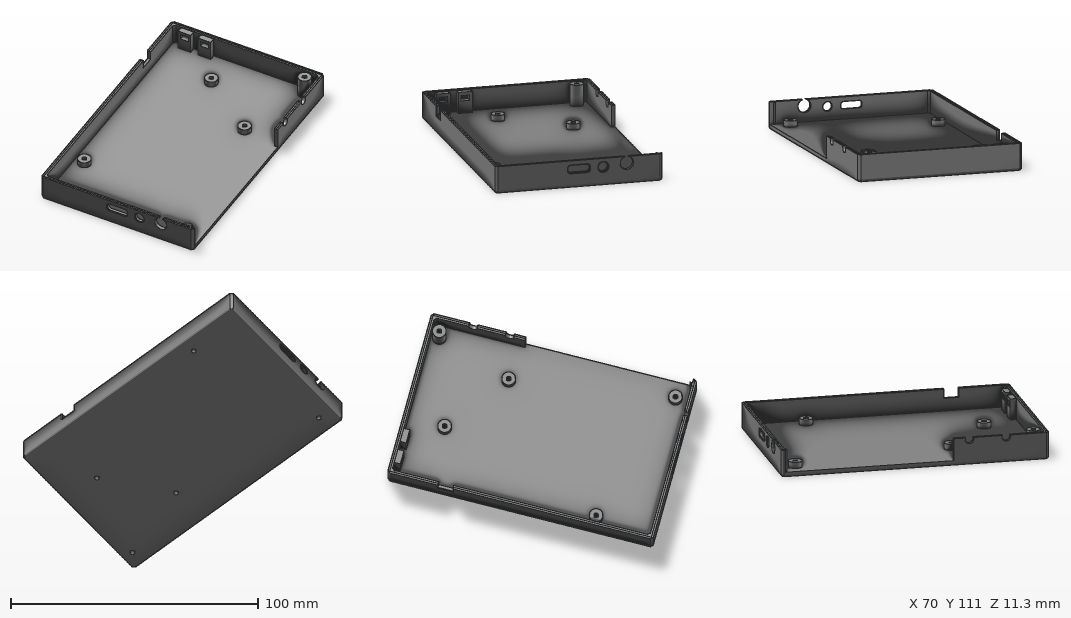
import cadquery as cq
length = 111.0
width = 70.0
height = 11.3
wall = 1.5
floor = 2.1
edge_size = 1.0
rim_step_width = wall / 2
rim_step_drop = 0.05

boss_diameter = 5.5
screw_diameter = 1.9
short_boss_height = 2.5
tall_boss_height = 9.0
short_boss_centers = [(-7.9, 38.7), (18.2, 18.9), (-28.9, -30.2), (28.1, -48.3)]
tall_boss_centers = [(28.5, 50.6)]

latch_width = 5.8
latch_depth = 2.5
latch_height = 8.9
latch_centers_x = [-27.2, -18.0]
window_width = 3.5
window_height = 2.2
window_depth = latch_depth
window_center_z = 8.4

slot_center_x = 0.0
slot_length = 9.1
slot_height = 3.1
slot_corner_radius = 1.2
jack_center_x = 10.2
jack_diameter = 4.0
port_center_z = 7.8
port_flare = 0.3
lamp_center_x = 20.1
lamp_center_z = 8.7
lamp_diameter = 5.5

notch_diameter = 3.5
notch_depth = 2.4
notch_centers_y = [37.9, 22.5]
side_cut_center_y = 31.3
side_cut_length = 6.2
side_cut_depth = 3.9
right_wall_end_y = 16.1

inner_width = width - 2 * wall
inner_length = length - 2 * wall


def make_shell():
    """Open tray with chamfered corners, a rounded bottom edge and a shallow step in its rim."""
    body = cq.Workplane("XY").box(width, length, height, centered=(True, True, False))
    body = body.edges("|Z").chamfer(edge_size).faces("<Z").edges().fillet(edge_size)
    cavity = (
        cq.Workplane("XY", origin=(0, 0, floor))
        .rect(inner_width, inner_length)
        .extrude(height)
        .edges("|Z")
        .chamfer(edge_size)
    )
    step = (
        cq.Workplane("XY", origin=(0, 0, height - rim_step_drop))
        .rect(width - 2 * rim_step_width, length - 2 * rim_step_width)
        .extrude(height)
    )
    return body.cut(cavity).cut(step)


def make_right_wall_gap():
    """Removes the right wall above the floor, from the front wall back to its end."""
    front = -inner_length / 2
    return cq.Workplane("XY", origin=(width / 2, front, floor)).box(
        2 * wall, right_wall_end_y - front, height, centered=(True, False, False)
    )


def make_bosses(centers, boss_height):
    return (
        cq.Workplane("XY", origin=(0, 0, floor))
        .pushPoints(centers)
        .circle(boss_diameter / 2)
        .extrude(boss_height)
    )


def make_screw_holes():
    return (
        cq.Workplane("XY")
        .pushPoints(short_boss_centers + tall_boss_centers)
        .circle(screw_diameter / 2)
        .extrude(height)
    )


def make_latch(center_x):
    front = inner_length / 2 - latch_depth
    block = cq.Workplane("XY", origin=(center_x, front, floor)).box(
        latch_width, latch_depth, latch_height, centered=(True, False, False)
    )
    window = cq.Workplane("XY", origin=(center_x, front, window_center_z)).box(
        window_width, 2 * window_depth, window_height
    )
    return block.cut(window)


def front_plane(center_x, center_z):
    """A workplane on the outer front face whose extrusions run into the part."""
    plane = cq.Plane(origin=(center_x, -length / 2, center_z), xDir=(-1, 0, 0), normal=(0, 1, 0))
    return cq.Workplane(plane)


def flared_opening(outer_face, inner_outline, outer_outline):
    """Cutter through one wall whose outer rim narrows at 45 degrees to the inner outline."""
    hole = outer_face.placeSketch(inner_outline).extrude(wall)
    flare = outer_face.placeSketch(outer_outline).extrude(port_flare, taper=45)
    return hole.union(flare)


def make_slot():
    def outline(margin):
        sketch = cq.Sketch().rect(slot_length + 2 * margin, slot_height + 2 * margin)
        return sketch.vertices().fillet(slot_corner_radius + margin)

    return flared_opening(front_plane(slot_center_x, port_center_z), outline(0), outline(port_flare))


def make_jack_hole():
    inner = cq.Sketch().circle(jack_diameter / 2)
    outer = cq.Sketch().circle(jack_diameter / 2 + port_flare)
    return flared_opening(front_plane(jack_center_x, port_center_z), inner, outer)


def make_lamp_hole():
    return front_plane(lamp_center_x, lamp_center_z).circle(lamp_diameter / 2).extrude(wall)


def make_notches():
    """Round notches that overhang at the rim, because their centres lie below it."""
    center_z = height - notch_depth + notch_diameter / 2
    return (
        cq.Workplane("YZ", origin=(inner_width / 2, 0, 0))
        .pushPoints([(y, center_z) for y in notch_centers_y])
        .circle(notch_diameter / 2)
        .extrude(wall)
    )


def make_side_cut():
    """Opening in the left wall, from the rim down; its cutter is mirrored above the rim."""

    def outline(margin):
        return cq.Sketch().rect(side_cut_length + 2 * margin, 2 * (side_cut_depth + margin))

    plane = cq.Plane(origin=(-width / 2, side_cut_center_y, height), xDir=(0, 1, 0), normal=(1, 0, 0))
    return flared_opening(cq.Workplane(plane), outline(0), outline(port_flare))


result = make_shell().cut(make_right_wall_gap())
result = result.union(make_bosses(short_boss_centers, short_boss_height))
result = result.union(make_bosses(tall_boss_centers, tall_boss_height))
for latch_x in latch_centers_x:
    result = result.union(make_latch(latch_x))
for opening in (
    make_screw_holes(),
    make_slot(),
    make_jack_hole(),
    make_lamp_hole(),
    make_notches(),
    make_side_cut(),
):
    result = result.cut(opening)